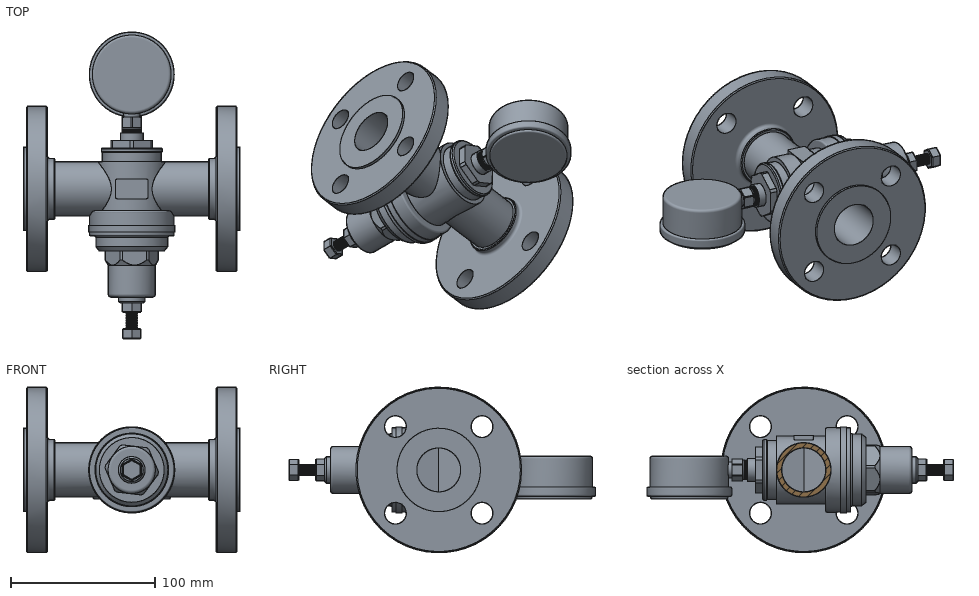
import cadquery as cq
import math


overall_length = 150.0
flange_diameter = 115.0
raised_face_diameter = 58.0
raised_face_height = 2.0
flange_thickness = 14.5
flange_chamfer = 0.9
bolt_circle_diameter = 85.0
bolt_hole_diameter = 15.0
bolt_hole_count = 4
bolt_hole_start_angle = 45
collar_diameter = 42.5
collar_length = 5.3
collar_chamfer = 0.6
collar_root_fillet = 2.0
pipe_diameter = 38.0
bore_diameter = 30.5
bore_end_x = 23.5
bore_vee_depth = 2.8

body_diameter = 47.3
body_neck_diameter = 41.1
body_neck_top = 25.1
body_flange_diameter = 58.8
body_flange_top = -15.1
body_flange_top_fillet = 1.3
body_flange_bottom = -32.5
body_flange_bottom_fillet = 0.9
band_diameter = 59.9
band_top = -25.4
band_bottom = -29.8
plate_length = 22.8
plate_width = 13.6
plate_top = 23.9
plate_corner_radius = 1.3

plug_rim_diameter = 42.5
plug_rim_top = 28.5
plug_rim_chamfer = 0.9
plug_hex_flats = 29.0
plug_hex_corners = 32.2
plug_hex_top = 33.7
plug_boss_diameter = 16.0
plug_boss_top = 39.0

gauge_thread_diameter = 13.6
gauge_thread_depth = 0.2
gauge_thread_pitch = 0.9
gauge_thread_turns = 3
gauge_hex_bottom = 42.6
gauge_hex_top = 49.9
gauge_hex_flats = 13.6
gauge_hex_corners = 15.3
gauge_neck_diameter = 11.3
gauge_centre_y = 79.5
gauge_case_diameter = 54.8
gauge_case_top = 9.5
gauge_case_fillet = 2.0
bezel_diameter = 59.0
bezel_top = -12.0
bezel_bottom = -18.3
bezel_fillet = 1.0
glass_diameter = 53.7
glass_bottom = -20.2
glass_fillet = 1.0

bonnet_lip_diameter = 51.1
bonnet_shoulder_diameter = 50.0
bonnet_shoulder_top = -33.7
bonnet_shoulder_bottom = -40.0
bonnet_cone_diameter = 45.0
bonnet_cone_bottom = -43.3
bonnet_hex_flats = 33.0
bonnet_hex_corners = 37.0
bonnet_hex_bottom = -53.0
bonnet_hex_turn = 36.6
bonnet_hex_chamfer_height = 3.6
bonnet_cap_diameter = 32.8
bonnet_cap_bottom = -75.2
bonnet_cap_fillet = 2.1
bonnet_boss_diameter = 18.5
bonnet_boss_cone_top = -78.0
bonnet_boss_end_diameter = 16.0
bonnet_boss_bottom = -79.3

nut_flats = 13.2
nut_bottom = -85.7
bolt_diameter = 7.7
bolt_thread_turns = 13
bolt_thread_depth = 0.2
bolt_tip = -72.9
overall_y_length = 213.0
bolt_head_top = -97.0
bolt_head_bottom = gauge_centre_y + bezel_diameter / 2 - overall_y_length
bolt_head_flats = 12.8
small_hex_chamfer = 0.6


def turned(stations):
    """Solid of revolution about Y from (diameter, y) stations, closed along the axis."""
    first_y = stations[0][1]
    last_y = stations[-1][1]
    outline = [(0, first_y)] + [(diameter / 2, y) for diameter, y in stations] + [(0, last_y)]
    return cq.Workplane("XY").polyline(outline).close().revolve(360, (0, 0), (0, 1))


def cylinder_y(diameter, y_from, y_to):
    return turned([(diameter, y_from), (diameter, y_to)])


def hexagon_y(flats, y_from, y_to, turn=0.0):
    """Hexagonal bar along Y with a corner pointing to +Z, turned about Y by the given angle."""
    low = min(y_from, y_to)
    corner_diameter = flats / math.cos(math.pi / 6)
    bar = (
        cq.Workplane("XZ", origin=(0, low, 0))
        .transformed(rotate=(0, 0, 90))
        .polygon(6, corner_diameter)
        .extrude(-abs(y_to - y_from))
    )
    return bar.rotate((0, 0, 0), (0, 1, 0), turn)


def thread_stations(diameter, depth, pitch, turns, y_from, direction):
    """Stations of ring-shaped thread ridges, starting at y_from and going along Y."""
    stations = []
    for turn in range(turns):
        crest_y = y_from + direction * pitch * turn
        stations.append((diameter, crest_y))
        stations.append((diameter - 2 * depth, crest_y + direction * pitch / 2))
    stations.append((diameter, y_from + direction * pitch * turns))
    return stations


def pipe_end():
    """The half of the pipe on the -X side with its flange, collar and bolt holes."""
    face_x = -overall_length / 2
    flange_x = face_x + raised_face_height
    back_x = flange_x + flange_thickness
    collar_x = back_x + collar_length
    flange_radius = flange_diameter / 2
    collar_radius = collar_diameter / 2
    arc_inset = collar_root_fillet * (1 - math.sqrt(0.5))
    end = (
        cq.Workplane("XY")
        .moveTo(face_x, 0)
        .lineTo(face_x, raised_face_diameter / 2)
        .lineTo(flange_x, raised_face_diameter / 2)
        .lineTo(flange_x, flange_radius - flange_chamfer)
        .lineTo(flange_x + flange_chamfer, flange_radius)
        .lineTo(back_x - flange_chamfer, flange_radius)
        .lineTo(back_x, flange_radius - flange_chamfer)
        .lineTo(back_x, collar_radius + collar_root_fillet)
        .threePointArc(
            (back_x + arc_inset, collar_radius + arc_inset),
            (back_x + collar_root_fillet, collar_radius),
        )
        .lineTo(collar_x - collar_chamfer, collar_radius)
        .lineTo(collar_x, collar_radius - collar_chamfer)
        .lineTo(collar_x, pipe_diameter / 2)
        .lineTo(0, pipe_diameter / 2)
        .lineTo(0, 0)
        .close()
        .revolve(360, (0, 0), (1, 0))
    )
    bolt_holes = (
        cq.Workplane("YZ", origin=(face_x, 0, 0))
        .polarArray(bolt_circle_diameter / 2, bolt_hole_start_angle, 360, bolt_hole_count)
        .circle(bolt_hole_diameter / 2)
        .extrude(collar_x - face_x)
    )
    return end.cut(bolt_holes)


def inlet_bore():
    """Blind bore from the -X face; its floor is a shallow vee with an upright edge."""
    face_x = -overall_length / 2
    radius = bore_diameter / 2
    bore = cq.Workplane("YZ", origin=(face_x, 0, 0)).circle(radius).extrude(overall_length / 2)
    outline = [
        (face_x, -radius),
        (-bore_end_x, -radius),
        (-bore_end_x + bore_vee_depth, 0),
        (-bore_end_x, radius),
        (face_x, radius),
    ]
    vee = cq.Workplane("XY").polyline(outline).close().extrude(radius, both=True)
    return bore.intersect(vee)


def name_plate():
    plate = cq.Workplane("XY").rect(plate_length, plate_width).extrude(plate_top)
    return plate.edges("|Z").fillet(plate_corner_radius)


def make_valve_body():
    pipe_radius = pipe_diameter / 2
    body_flange = cylinder_y(body_flange_diameter, body_flange_top, body_flange_bottom)
    body_flange = body_flange.faces(">Y").edges().fillet(body_flange_top_fillet)
    body_flange = body_flange.faces("<Y").edges().fillet(body_flange_bottom_fillet)
    body = cylinder_y(body_diameter, pipe_radius, body_flange_top)
    body = body.union(cylinder_y(body_neck_diameter, body_neck_top, 0))
    body = body.union(body_flange)
    body = body.union(cylinder_y(band_diameter, band_top, band_bottom))
    body = body.union(name_plate())
    end = pipe_end()
    bore = inlet_bore()
    body = body.union(end).union(end.mirror("YZ"))
    return body.cut(bore).cut(bore.mirror("YZ"))


def make_plug():
    rim = cylinder_y(plug_rim_diameter, body_neck_top, plug_rim_top).edges().chamfer(plug_rim_chamfer)
    hexagon = hexagon_y(plug_hex_flats, plug_rim_top, plug_hex_top)
    hexagon = hexagon.intersect(cylinder_y(plug_hex_corners, plug_rim_top, plug_hex_top))
    boss = cylinder_y(plug_boss_diameter, plug_hex_top, plug_boss_top)
    return rim.union(hexagon).union(boss)


def gauge_disk(diameter, z_top, z_bottom):
    return (
        cq.Workplane("XY", origin=(0, gauge_centre_y, z_bottom))
        .circle(diameter / 2)
        .extrude(z_top - z_bottom)
    )


def make_gauge():
    case = gauge_disk(gauge_case_diameter, gauge_case_top, bezel_bottom)
    case = case.faces(">Z").edges().fillet(gauge_case_fillet)
    bezel = gauge_disk(bezel_diameter, bezel_top, bezel_bottom).edges().fillet(bezel_fillet)
    glass = gauge_disk(glass_diameter, bezel_top, glass_bottom)
    glass = glass.faces("<Z").edges().fillet(glass_fillet)
    neck = cylinder_y(gauge_neck_diameter, gauge_hex_top, gauge_centre_y)
    hexagon = hexagon_y(gauge_hex_flats, gauge_hex_bottom, gauge_hex_top)
    hexagon = hexagon.intersect(cylinder_y(gauge_hex_corners, gauge_hex_bottom, gauge_hex_top))
    ridges = thread_stations(
        gauge_thread_diameter,
        gauge_thread_depth,
        gauge_thread_pitch,
        gauge_thread_turns,
        plug_boss_top,
        1,
    )
    thread = turned(ridges + [(gauge_thread_diameter, gauge_hex_bottom)])
    return case.union(bezel).union(glass).union(neck).union(hexagon).union(thread)


def bonnet_hexagon():
    """Hexagon with its corners turned down and its lower end chamfered to the cap diameter."""
    envelope = turned(
        [
            (bonnet_hex_corners, bonnet_cone_bottom),
            (bonnet_hex_corners, bonnet_hex_bottom + bonnet_hex_chamfer_height),
            (bonnet_cap_diameter, bonnet_hex_bottom),
        ]
    )
    bar = hexagon_y(bonnet_hex_flats, bonnet_cone_bottom, bonnet_hex_bottom, bonnet_hex_turn)
    return bar.intersect(envelope)


def make_bonnet():
    shoulder = turned(
        [
            (bonnet_lip_diameter, body_flange_bottom),
            (bonnet_shoulder_diameter, bonnet_shoulder_top),
            (bonnet_shoulder_diameter, bonnet_shoulder_bottom),
            (bonnet_cone_diameter, bonnet_cone_bottom),
        ]
    )
    cap = cylinder_y(bonnet_cap_diameter, bonnet_cone_bottom, bonnet_cap_bottom)
    cap = cap.faces("<Y").edges().fillet(bonnet_cap_fillet)
    boss = turned(
        [
            (bonnet_boss_diameter, bonnet_cap_bottom),
            (bonnet_boss_diameter, bonnet_boss_cone_top),
            (bonnet_boss_end_diameter, bonnet_boss_bottom),
        ]
    )
    bonnet = shoulder.union(bonnet_hexagon()).union(cap).union(boss)
    return bonnet.cut(cylinder_y(bolt_diameter, bolt_tip, bonnet_boss_bottom))


def make_lock_nut():
    nut = hexagon_y(nut_flats, bonnet_boss_bottom, nut_bottom)
    nut = nut.faces("<Y").edges().chamfer(small_hex_chamfer)
    return nut.cut(cylinder_y(bolt_diameter, bonnet_boss_bottom, nut_bottom))


def make_adjusting_bolt():
    thread_pitch = (nut_bottom - bolt_head_top) / bolt_thread_turns
    ridges = thread_stations(
        bolt_diameter, bolt_thread_depth, thread_pitch, bolt_thread_turns, nut_bottom, -1
    )
    shank = turned([(bolt_diameter, bolt_tip)] + ridges)
    head = hexagon_y(bolt_head_flats, bolt_head_top, bolt_head_bottom)
    head = head.faces("<Y or >Y").edges().chamfer(small_hex_chamfer)
    return shank.union(head)


valve_body = make_valve_body()
plug = make_plug()
gauge = make_gauge()
bonnet = make_bonnet()
lock_nut = make_lock_nut()
adjusting_bolt = make_adjusting_bolt()

result = cq.Compound.makeCompound(
    [
        valve_body.val(),
        plug.val(),
        gauge.val(),
        bonnet.val(),
        lock_nut.val(),
        adjusting_bolt.val(),
    ]
)